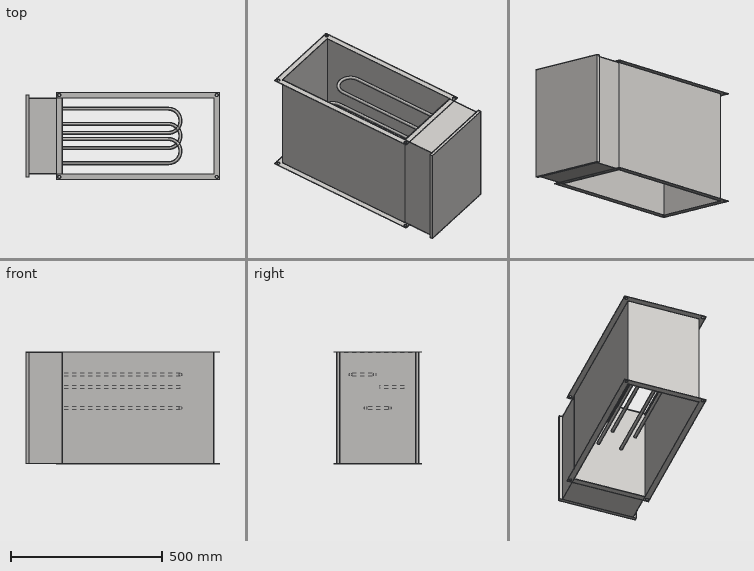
import cadquery as cq

opening_length = 500.0
opening_width = 250.0
height = 370.0
opening_left = -opening_length / 2

wall = 0.5
flange_thickness = 1.0
flange_width = 19.0
flange_length = opening_length + 2 * flange_width
flange_depth = opening_width + 2 * flange_width
flange_hole_diameter = 9.0
flange_hole_inset = 9.0

box_length = 110.0
box_width = opening_width
box_height = height - 2 * flange_thickness
box_sheet = 1.0
box_left = opening_left - box_length
core_length = box_length - box_sheet
core_height = box_height - 2 * box_sheet
cover_thickness = 10.0
cover_overhang = 11.0
cover_width = box_width + 2 * cover_overhang

tube_diameter = 10.0
bend_radius = 40.0
leg_length = 350.0
tube_spacing = 50.0
upper_tube_z = 110.0
middle_tube_z = 70.0
lower_tube_z = 0.0
tube_centres = [
    (-tube_spacing, upper_tube_z),
    (tube_spacing, middle_tube_z),
    (0.0, lower_tube_z),
]


def make_block(left_x, length, width, block_height):
    """Plain block that starts at left_x and is centred in Y and Z."""
    block = cq.Workplane("XY").box(length, width, block_height)
    return block.translate((left_x + length / 2, 0, 0))


def make_flange_plate(bottom_z):
    """Flat plate with one bolt hole in each corner, before the duct opening is cut."""
    plate = (
        cq.Workplane("XY", origin=(0, 0, bottom_z))
        .rect(flange_length, flange_depth)
        .extrude(flange_thickness)
    )
    holes = (
        cq.Workplane("XY", origin=(0, 0, bottom_z))
        .rect(
            flange_length - 2 * flange_hole_inset,
            flange_depth - 2 * flange_hole_inset,
            forConstruction=True,
        )
        .vertices()
        .circle(flange_hole_diameter / 2)
        .extrude(flange_thickness)
    )
    return plate.cut(holes)


def make_duct():
    """Three thin walls, open on the left, joined to a flange at the top and bottom."""
    outside = make_block(opening_left, opening_length + wall, opening_width + 2 * wall, height)
    bottom_flange = make_flange_plate(-height / 2)
    top_flange = make_flange_plate(height / 2 - flange_thickness)
    opening = make_block(opening_left - wall, opening_length + wall, opening_width, height)
    return outside.union(bottom_flange).union(top_flange).cut(opening)


def make_box_core():
    """Inside of the terminal box, whose ends show as the box's side faces."""
    return make_block(box_left, core_length, box_width, core_height)


def make_box_wrap():
    """U-bent sheet over the top, back and bottom of the core."""
    outside = make_block(box_left, box_length, box_width, box_height)
    return outside.cut(make_box_core())


def make_cover():
    """Flat cover on the front of the terminal box, wider than the box on both sides."""
    return make_block(box_left - cover_thickness, cover_thickness, cover_width, box_height)


def make_heating_tube(centre_y, centre_z):
    """Round rod bent into a U, with both legs ending on the back of the terminal box."""
    bend_x = opening_left + leg_length
    path = (
        cq.Workplane("XY", origin=(0, centre_y, centre_z))
        .moveTo(opening_left, bend_radius)
        .lineTo(bend_x, bend_radius)
        .threePointArc((bend_x + bend_radius, 0), (bend_x, -bend_radius))
        .lineTo(opening_left, -bend_radius)
    )
    section = cq.Workplane("YZ", origin=(opening_left, centre_y + bend_radius, centre_z))
    return section.circle(tube_diameter / 2).sweep(path)


duct = make_duct()
box_wrap = make_box_wrap()
box_core = make_box_core()
cover = make_cover()
heating_tubes = [make_heating_tube(y, z) for y, z in tube_centres]

result = cq.Compound.makeCompound(
    [
        duct.val(),
        box_wrap.val(),
        box_core.val(),
        cover.val(),
        *[tube.val() for tube in heating_tubes],
    ]
)